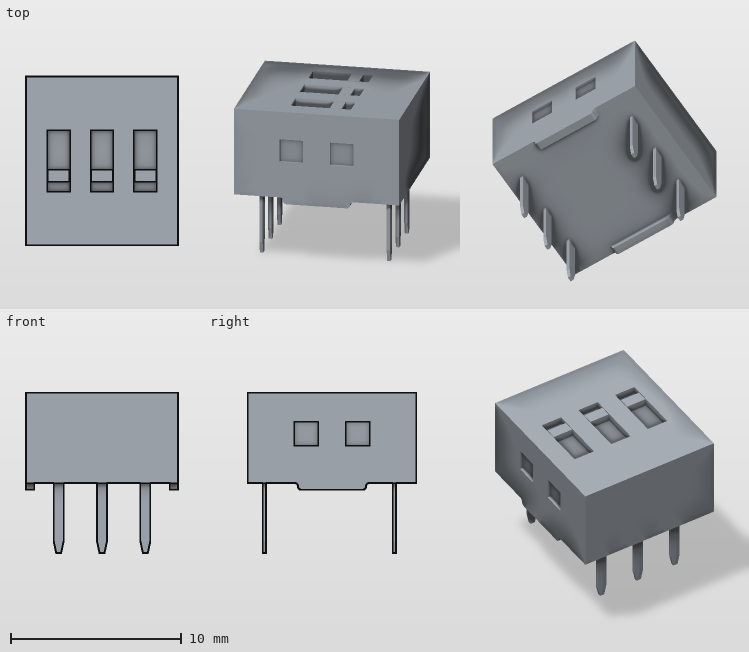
import cadquery as cq


POSITIONS = 3
PITCH = 2.54
ROW_SPACING = 7.62

COVER_LENGTH = 8.92
COVER_WIDTH = 9.9
COVER_HEIGHT = 5.3
COVER_Y = 0.15
WALL = 0.5
ROOF = 0.5

FOOT_WIDTH = 4.0
FOOT_HEIGHT = 0.4
FOOT_RADIUS = FOOT_HEIGHT / 2

WINDOW_SIZE = 1.4
WINDOW_SPACING = 3.02
WINDOW_TOP_DROP = 1.7
LATCH_RECESS = 0.2

SLOT_LENGTH = 3.6
SLOT_WIDTH = 1.34
SLIDER_WIDTH = 1.26
SLIDER_LENGTH = 0.7
SLIDER_OFFSET = 0.88

PIN_WIDTH = 0.6
PIN_THICKNESS = 0.2
PIN_LENGTH = 4.1
PIN_TIP_WIDTH = 0.3
PIN_TIP_LENGTH = 0.7

CAVITY_LENGTH = COVER_LENGTH - 2 * WALL
CAVITY_WIDTH = COVER_WIDTH - 2 * WALL
CAVITY_HEIGHT = COVER_HEIGHT - ROOF
WINDOW_Z = COVER_HEIGHT - WINDOW_TOP_DROP - WINDOW_SIZE / 2

column_x = [(i - (POSITIONS - 1) / 2) * PITCH for i in range(POSITIONS)]
row_y = [-ROW_SPACING / 2, ROW_SPACING / 2]
window_y = [COVER_Y - WINDOW_SPACING / 2, COVER_Y + WINDOW_SPACING / 2]


def standing_box(length, width, height, x, y, z):
    """Box centred on (x, y) with its underside at z."""
    box = cq.Workplane("XY").box(length, width, height, centered=(True, True, False))
    return box.translate((x, y, z))


def foot(x_start):
    """Foot whose sides are S-curves: flared out at the wall, rounded at the ground."""
    half = FOOT_WIDTH / 2
    r = FOOT_RADIUS
    outline = (
        cq.Workplane("YZ", origin=(x_start, COVER_Y, 0))
        .moveTo(-half - r, 0)
        .radiusArc((-half, -r), r)
        .radiusArc((-half + r, -FOOT_HEIGHT), -r)
        .lineTo(half - r, -FOOT_HEIGHT)
        .radiusArc((half, -r), -r)
        .radiusArc((half + r, 0), r)
        .close()
    )
    return outline.extrude(WALL)


def make_cover():
    """Open-bottomed box with a slot per position, latch windows and feet."""
    cover = standing_box(COVER_LENGTH, COVER_WIDTH, COVER_HEIGHT, 0, COVER_Y, 0)
    cover = cover.cut(standing_box(CAVITY_LENGTH, CAVITY_WIDTH, CAVITY_HEIGHT, 0, COVER_Y, 0))
    for x in column_x:
        cover = cover.cut(standing_box(SLOT_WIDTH, SLOT_LENGTH, ROOF, x, COVER_Y, CAVITY_HEIGHT))
    for y in window_y:
        window = cq.Workplane("XY").box(COVER_LENGTH, WINDOW_SIZE, WINDOW_SIZE)
        cover = cover.cut(window.translate((0, y, WINDOW_Z)))
    for x_start in (-COVER_LENGTH / 2, COVER_LENGTH / 2 - WALL):
        cover = cover.union(foot(x_start))
    return cover


def pin(x, y):
    """Flat pin hanging from the base, narrowed to a blunt tip."""
    half = PIN_WIDTH / 2
    half_tip = PIN_TIP_WIDTH / 2
    shoulder_z = PIN_TIP_LENGTH - PIN_LENGTH
    outline = cq.Workplane("XZ").polyline([
        (-half, 0),
        (-half, shoulder_z),
        (-half_tip, -PIN_LENGTH),
        (half_tip, -PIN_LENGTH),
        (half, shoulder_z),
        (half, 0),
    ]).close()
    return outline.extrude(PIN_THICKNESS / 2, both=True).translate((x, y, 0))


def make_base():
    """Block filling the cover, with latches in the windows and two rows of pins."""
    base = standing_box(CAVITY_LENGTH, CAVITY_WIDTH, CAVITY_HEIGHT, 0, COVER_Y, 0)
    for y in window_y:
        latch = cq.Workplane("XY").box(COVER_LENGTH - 2 * LATCH_RECESS, WINDOW_SIZE, WINDOW_SIZE)
        base = base.union(latch.translate((0, y, WINDOW_Z)))
    for x in column_x:
        for y in row_y:
            base = base.union(pin(x, y))
    return base


def make_slider(x):
    """Actuator block standing on the base, flush with the cover's top."""
    y = COVER_Y - SLIDER_OFFSET
    return standing_box(SLIDER_WIDTH, SLIDER_LENGTH, ROOF, x, y, CAVITY_HEIGHT)


cover = make_cover()
base = make_base()
sliders = [make_slider(x) for x in column_x]

result = cq.Compound.makeCompound([
    *cover.solids().vals(),
    *base.solids().vals(),
    *[slider.val() for slider in sliders],
])